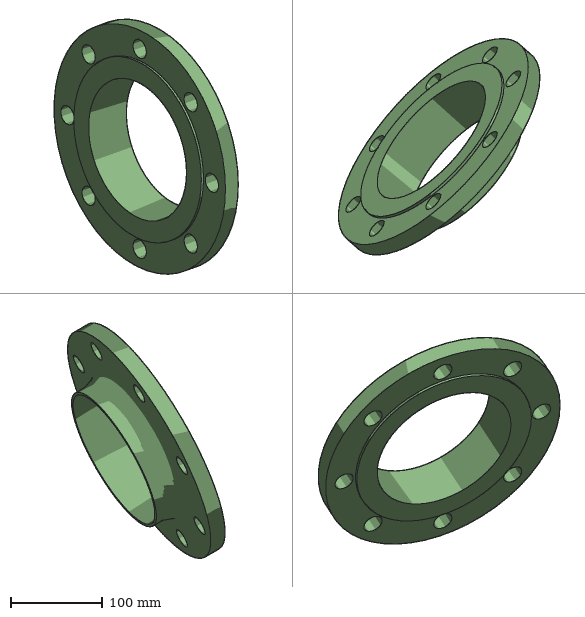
import cadquery as cq
import math

outer_radius = 142.5
total_length = 55.0
bore_radius = 81.2

raised_radius = 106.0
raised_height = 3.0
plate_thickness = 18.8
plate_back = raised_height + plate_thickness

neck_radius = 84.5
pipe_end_length = 12.0
cone_angle = math.radians(20)
root_fillet = 10.0
blend_radius = 11.5
cone_end = total_length - pipe_end_length - blend_radius * math.tan(cone_angle / 2)
cone_base_radius = neck_radius + (cone_end - plate_back) * math.tan(cone_angle)

bolt_count = 8
bolt_circle_radius = 120.0
bolt_hole_diameter = 22.0


def arc_tangent_length(radius, turn_angle):
    """Distance from a corner to where a tangent arc meets its sides."""
    return radius * math.tan(turn_angle / 2)


def point_on_cone(distance, corner):
    """Point at a distance along the cone, positive towards the pipe end."""
    radius, position = corner
    return (
        radius - distance * math.sin(cone_angle),
        position + distance * math.cos(cone_angle),
    )


def make_body():
    root_corner = (cone_base_radius, plate_back)
    neck_corner = (neck_radius, cone_end)
    root_length = arc_tangent_length(root_fillet, math.pi / 2 - cone_angle)
    blend_length = arc_tangent_length(blend_radius, cone_angle)
    profile = (
        cq.Workplane("XY")
        .moveTo(bore_radius, 0)
        .lineTo(raised_radius, 0)
        .lineTo(raised_radius, raised_height)
        .lineTo(outer_radius, raised_height)
        .lineTo(outer_radius, plate_back)
        .lineTo(cone_base_radius + root_length, plate_back)
        .radiusArc(point_on_cone(root_length, root_corner), root_fillet)
        .lineTo(*point_on_cone(-blend_length, neck_corner))
        .radiusArc((neck_radius, cone_end + blend_length), blend_radius)
        .lineTo(neck_radius, total_length)
        .lineTo(bore_radius, total_length)
        .close()
    )
    return profile.revolve(360, (0, 0, 0), (0, 1, 0))


def make_bolt_holes():
    return (
        cq.Workplane("XZ")
        .polarArray(bolt_circle_radius, 0, 360, bolt_count)
        .circle(bolt_hole_diameter / 2)
        .extrude(-total_length)
    )


result = make_body().cut(make_bolt_holes())